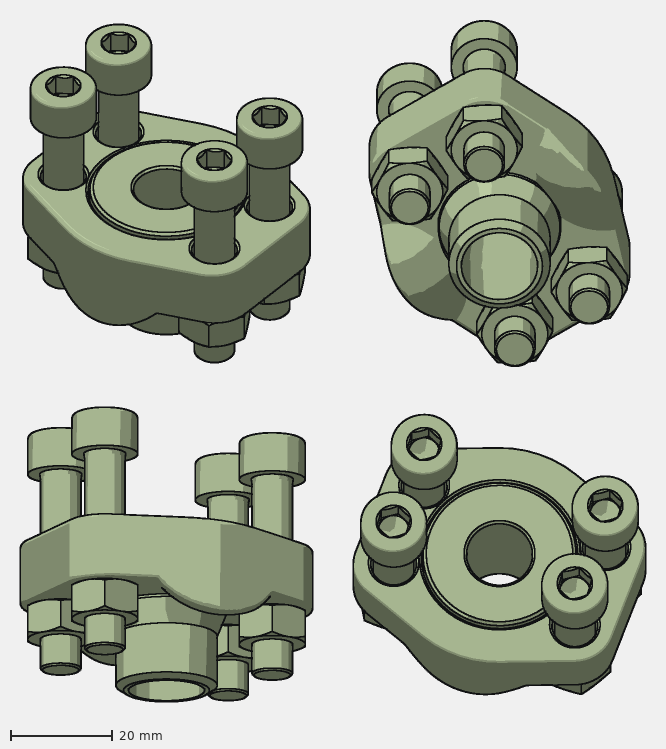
import cadquery as cq
import math


FLANGE_LENGTH = 54.0
FLANGE_THICKNESS = 13.0
CROWN_RADIUS = 22.975
EDGE_FILLET = 1.0
BOSS_DROP = 5.95
BOSS_RADIUS = 18.35
BOSS_INNER_Y = 7.55
BOSS_INNER_ROUNDING = 15.65
BOSS_SEAM_FILLET = 1.0
FLANGE_BORE_DIAMETER = 24.25
RECESS_DIAMETER = 30.95
RECESS_DEPTH = 5.0
RECESS_CHAMFER = 0.45
SCREW_HOLE_DIAMETER = 9.0
SCREW_HOLE_CHAMFER = 0.5

SCREW_X = 19.0
SCREW_Y = 8.75
SCREW_POSITIONS = [(sx * SCREW_X, sy * SCREW_Y) for sx in (-1, 1) for sy in (-1, 1)]
CORNER_RADIUS = FLANGE_LENGTH / 2 - SCREW_X

NIPPLE_TOP = FLANGE_THICKNESS + 0.65
NIPPLE_BOTTOM = -16.4
COLLAR_DIAMETER = 30.2
COLLAR_CHAMFER_WIDTH = 0.65
COLLAR_CHAMFER_HEIGHT = 0.45
NECK_DIAMETER = 23.8
NECK_BOTTOM = -0.5
PIPE_TOP = -5.35
PIPE_DIAMETER = 20.0
WELD_CHAMFER_WIDTH = 1.5
WELD_CHAMFER_HEIGHT = 1.0
BORE_DIAMETER = 13.0
BORE_CHAMFER = 0.5
BORE_TAPER_TOP = NIPPLE_TOP - 3.6
PIPE_BORE_DIAMETER = 15.0

HEAD_DIAMETER = 13.0
HEAD_HEIGHT = 8.0
HEAD_BOTTOM = 27.2
HEAD_FILLET = 0.8
SHANK_DIAMETER = 8.0
SHANK_LENGTH = 40.0
FLARE_DIAMETER = 8.3
FLARE_HEIGHT = 0.4
SHOULDER_DIAMETER = 8.15
SHOULDER_HEIGHT = 0.55
TIP_CHAMFER = 0.4
SOCKET_WIDTH = 6.0
SOCKET_DEPTH = 4.3
SOCKET_TURN = 35.0
CONE_HALF_ANGLE = 60.0

NUT_WIDTH = 13.0
NUT_HEIGHT = 6.5
NUT_CHAMFER_ANGLE = 30.0


def across_corners(across_flats):
    return across_flats / math.cos(math.pi / 6)


def revolved(profile):
    """Turn a closed (radius, z) profile about the Z axis."""
    return cq.Workplane("XZ").polyline(profile).close().revolve(360, (0, 0), (0, 1))


def flange_outline():
    """Four corner arcs and two crown arcs joined by tangent lines, with flat X sides."""
    center_distance = math.hypot(SCREW_X, SCREW_Y)
    normal = math.atan2(SCREW_Y, SCREW_X) + math.acos((CROWN_RADIUS - CORNER_RADIUS) / center_distance)
    crown_x = CROWN_RADIUS * math.cos(normal)
    crown_y = CROWN_RADIUS * math.sin(normal)
    corner_x = SCREW_X + CORNER_RADIUS * math.cos(normal)
    corner_y = SCREW_Y + CORNER_RADIUS * math.sin(normal)
    corner_mid_x = SCREW_X + CORNER_RADIUS * math.cos(normal / 2)
    corner_mid_y = SCREW_Y + CORNER_RADIUS * math.sin(normal / 2)
    side_x = FLANGE_LENGTH / 2
    return (
        cq.Workplane("XY", origin=(0, 0, -BOSS_DROP))
        .moveTo(side_x, -SCREW_Y)
        .lineTo(side_x, SCREW_Y)
        .threePointArc((corner_mid_x, corner_mid_y), (corner_x, corner_y))
        .lineTo(crown_x, crown_y)
        .threePointArc((0, CROWN_RADIUS), (-crown_x, crown_y))
        .lineTo(-corner_x, corner_y)
        .threePointArc((-corner_mid_x, corner_mid_y), (-side_x, SCREW_Y))
        .lineTo(-side_x, -SCREW_Y)
        .threePointArc((-corner_mid_x, -corner_mid_y), (-corner_x, -corner_y))
        .lineTo(-crown_x, -crown_y)
        .threePointArc((0, -CROWN_RADIUS), (crown_x, -crown_y))
        .lineTo(corner_x, -corner_y)
        .threePointArc((corner_mid_x, -corner_mid_y), (side_x, -SCREW_Y))
        .close()
    )


def make_boss():
    """Cylinder along +Y with a well rounded inner end, kept below the flange top."""
    barrel = (
        cq.Workplane("XZ", origin=(0, BOSS_INNER_Y, BOSS_RADIUS - BOSS_DROP))
        .circle(BOSS_RADIUS)
        .extrude(-FLANGE_LENGTH / 2)
        .faces("<Y").edges().fillet(BOSS_INNER_ROUNDING)
    )
    below_top = cq.Workplane("XY").box(2 * FLANGE_LENGTH, 2 * FLANGE_LENGTH, 2 * FLANGE_THICKNESS)
    return barrel.intersect(below_top)


def low_edges(body):
    """Edges on the underside of the plate and the bosses."""
    return [edge for edge in body.edges().vals() if edge.BoundingBox().zmax < EDGE_FILLET]


def distance_from_axis(edge):
    return math.hypot(edge.Center().x, edge.Center().y)


def make_flange():
    column = flange_outline().extrude(BOSS_DROP + FLANGE_THICKNESS)
    plate = cq.Workplane("XY").box(FLANGE_LENGTH, FLANGE_LENGTH, FLANGE_THICKNESS,
                                   centered=(True, True, False))
    bosses = make_boss().union(make_boss().mirror("XZ"))
    body = column.intersect(plate.union(bosses))
    seams = [edge for edge in low_edges(body) if distance_from_axis(edge) < SCREW_X]
    body = body.newObject(seams).fillet(BOSS_SEAM_FILLET)
    lower_rim = [edge for edge in low_edges(body) if distance_from_axis(edge) > SCREW_X]
    body = body.newObject(lower_rim).fillet(EDGE_FILLET)
    body = body.faces(">Z").edges().fillet(EDGE_FILLET)
    return body.cut(nipple_seat()).cut(screw_holes())


def nipple_seat():
    """Through bore with a chamfered recess for the nipple collar."""
    bore_radius = FLANGE_BORE_DIAMETER / 2
    recess_radius = RECESS_DIAMETER / 2
    recess_floor = FLANGE_THICKNESS - RECESS_DEPTH
    return revolved([
        (0, -BOSS_DROP),
        (bore_radius, -BOSS_DROP),
        (bore_radius, recess_floor),
        (recess_radius, recess_floor),
        (recess_radius, FLANGE_THICKNESS - RECESS_CHAMFER),
        (recess_radius + RECESS_CHAMFER, FLANGE_THICKNESS),
        (0, FLANGE_THICKNESS),
    ])


def screw_holes():
    radius = SCREW_HOLE_DIAMETER / 2
    hole = revolved([
        (0, 0),
        (radius, 0),
        (radius, FLANGE_THICKNESS - SCREW_HOLE_CHAMFER),
        (radius + SCREW_HOLE_CHAMFER, FLANGE_THICKNESS),
        (0, FLANGE_THICKNESS),
    ])
    return cq.Compound.makeCompound([hole.translate((x, y, 0)).val() for x, y in SCREW_POSITIONS])


def make_nipple():
    """Collar on the recess floor, neck in the bore, taper to a pipe end with a weld chamfer."""
    collar_radius = COLLAR_DIAMETER / 2
    neck_radius = NECK_DIAMETER / 2
    pipe_radius = PIPE_DIAMETER / 2
    bore_radius = BORE_DIAMETER / 2
    pipe_bore_radius = PIPE_BORE_DIAMETER / 2
    collar_bottom = FLANGE_THICKNESS - RECESS_DEPTH
    return revolved([
        (bore_radius + BORE_CHAMFER, NIPPLE_TOP),
        (collar_radius - COLLAR_CHAMFER_WIDTH, NIPPLE_TOP),
        (collar_radius, NIPPLE_TOP - COLLAR_CHAMFER_HEIGHT),
        (collar_radius, collar_bottom),
        (neck_radius, collar_bottom),
        (neck_radius, NECK_BOTTOM),
        (pipe_radius, PIPE_TOP),
        (pipe_radius, NIPPLE_BOTTOM + WELD_CHAMFER_HEIGHT),
        (pipe_radius - WELD_CHAMFER_WIDTH, NIPPLE_BOTTOM),
        (pipe_bore_radius, NIPPLE_BOTTOM),
        (pipe_bore_radius, PIPE_TOP),
        (bore_radius, BORE_TAPER_TOP),
        (bore_radius, NIPPLE_TOP - BORE_CHAMFER),
    ])


def make_screw(x, y):
    head_top = HEAD_BOTTOM + HEAD_HEIGHT
    head_radius = HEAD_DIAMETER / 2
    head = (
        cq.Workplane("XY", origin=(0, 0, HEAD_BOTTOM))
        .circle(head_radius)
        .extrude(HEAD_HEIGHT)
        .faces(">Z").edges().fillet(HEAD_FILLET)
    )
    shank_radius = SHANK_DIAMETER / 2
    shank_bottom = HEAD_BOTTOM - SHANK_LENGTH
    flare_bottom = HEAD_BOTTOM - FLARE_HEIGHT
    shank = revolved([
        (0, HEAD_BOTTOM),
        (FLARE_DIAMETER / 2, HEAD_BOTTOM),
        (SHOULDER_DIAMETER / 2, flare_bottom),
        (shank_radius, flare_bottom - SHOULDER_HEIGHT),
        (shank_radius, shank_bottom + TIP_CHAMFER),
        (shank_radius - TIP_CHAMFER, shank_bottom),
        (0, shank_bottom),
    ])
    return head.union(shank).cut(hex_socket(head_top)).translate((x, y, 0))


def hex_socket(head_top):
    """Hexagon with flats nearly facing X, a lead-in chamfer out to its corners and a conical floor."""
    corner_radius = across_corners(SOCKET_WIDTH) / 2
    flat_radius = SOCKET_WIDTH / 2
    floor = head_top - SOCKET_DEPTH
    hexagon = (
        cq.Workplane("XY", origin=(0, 0, floor))
        .polygon(6, 2 * corner_radius)
        .extrude(SOCKET_DEPTH)
        .rotate((0, 0, 0), (0, 0, 1), SOCKET_TURN)
    )
    lead_in = revolved([
        (0, head_top),
        (corner_radius, head_top),
        (0, head_top - corner_radius),
    ])
    cone_depth = flat_radius / math.tan(math.radians(CONE_HALF_ANGLE))
    drill_point = revolved([
        (0, floor),
        (flat_radius, floor),
        (0, floor - cone_depth),
    ])
    return hexagon.union(drill_point).union(lead_in)


def make_nut(x, y):
    """Hex nut with corners along X, both faces chamfered, bored to fit the screw shank."""
    corner_radius = across_corners(NUT_WIDTH) / 2
    face_radius = NUT_WIDTH / 2
    chamfer_height = (corner_radius - face_radius) * math.tan(math.radians(NUT_CHAMFER_ANGLE))
    blank = cq.Workplane("XY").polygon(6, 2 * corner_radius).extrude(-NUT_HEIGHT)
    chamfered_ring = revolved([
        (SHANK_DIAMETER / 2, 0),
        (face_radius, 0),
        (corner_radius, -chamfer_height),
        (corner_radius, chamfer_height - NUT_HEIGHT),
        (face_radius, -NUT_HEIGHT),
        (SHANK_DIAMETER / 2, -NUT_HEIGHT),
    ])
    return blank.intersect(chamfered_ring).translate((x, y, 0))


flange = make_flange()
nipple = make_nipple()
screws = [make_screw(x, y) for x, y in SCREW_POSITIONS]
nuts = [make_nut(x, y) for x, y in SCREW_POSITIONS]

result = cq.Compound.makeCompound([
    *flange.solids().vals(),
    *nipple.solids().vals(),
    *[screw.solids().val() for screw in screws],
    *[nut.solids().val() for nut in nuts],
])